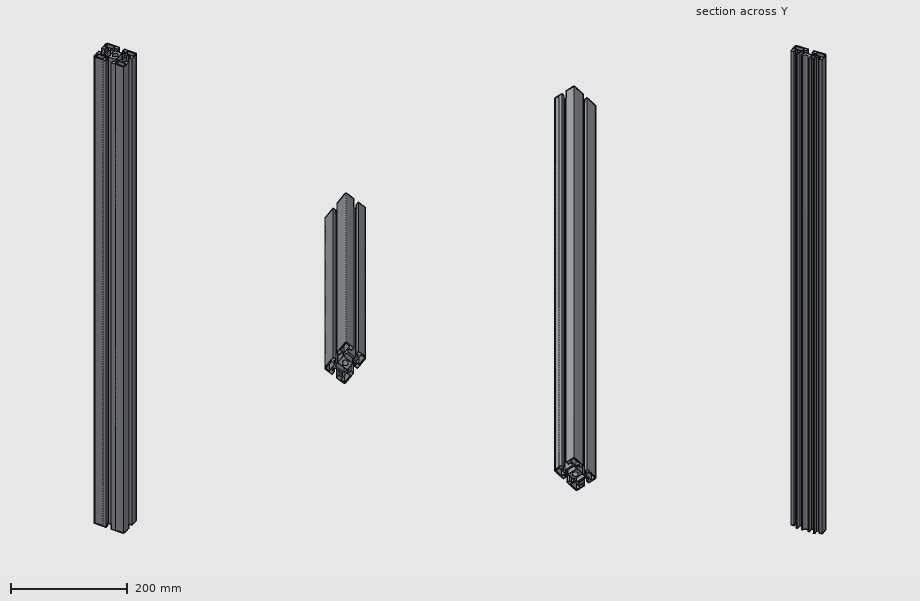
import cadquery as cq

width = 60.0
depth = 45.0
length = 1000.0
corner_radius = 3.0

slot_opening = 10.0
slot_inner_width = 20.0
slot_depth = 12.0
lip_thickness = 6.0
slot_floor_chamfer = 2.0

bore_diameter = 10.0
skin = 2.0
corner_wall = 2.5
side_floor_wall = 3.0
core_end_wall = 1.0
core_width = 15.0

side_floor_x = width / 2 - slot_depth
front_floor_y = depth / 2 - slot_depth
hollow_inner_x = slot_inner_width / 2 + corner_wall
hollow_inner_y = slot_inner_width / 2 + corner_wall


def t_slot(face_distance, angle):
    """T-slot cutter facing +Y at face_distance, then turned about Z by angle."""
    floor_y = face_distance - slot_depth
    lip_y = face_distance - lip_thickness
    half_opening = slot_opening / 2
    half_inner = slot_inner_width / 2
    half_floor = half_inner - slot_floor_chamfer
    right_side = [
        (half_floor, floor_y),
        (half_inner, floor_y + slot_floor_chamfer),
        (half_inner, lip_y),
        (half_opening, lip_y),
        (half_opening, face_distance),
    ]
    left_side = [(-x, y) for x, y in reversed(right_side)]
    cutter = cq.Workplane("XY").polyline(right_side + left_side).close().extrude(length)
    return cutter.rotate((0, 0, 0), (0, 0, 1), angle)


def box_hollow(x_min, x_max, y_min, y_max):
    """Rectangular hollow running the full length."""
    center = ((x_min + x_max) / 2, (y_min + y_max) / 2)
    return cq.Workplane("XY").center(*center).rect(x_max - x_min, y_max - y_min).extrude(length)


result = cq.Workplane("XY").rect(width, depth).extrude(length).edges("|Z").fillet(corner_radius)

for face_distance, angle in [(depth / 2, 0), (width / 2, 90), (depth / 2, 180), (width / 2, 270)]:
    result = result.cut(t_slot(face_distance, angle))

corner_hollow = box_hollow(hollow_inner_x, width / 2 - skin, hollow_inner_y, depth / 2 - skin)
for hollow in (corner_hollow, corner_hollow.mirror("YZ")):
    result = result.cut(hollow).cut(hollow.mirror("XZ"))

core_hollow_end = front_floor_y - core_end_wall
core_hollow = box_hollow(core_width / 2, side_floor_x - side_floor_wall, -core_hollow_end, core_hollow_end)
result = result.cut(core_hollow).cut(core_hollow.mirror("YZ"))

result = result.cut(cq.Workplane("XY").circle(bore_diameter / 2).extrude(length))